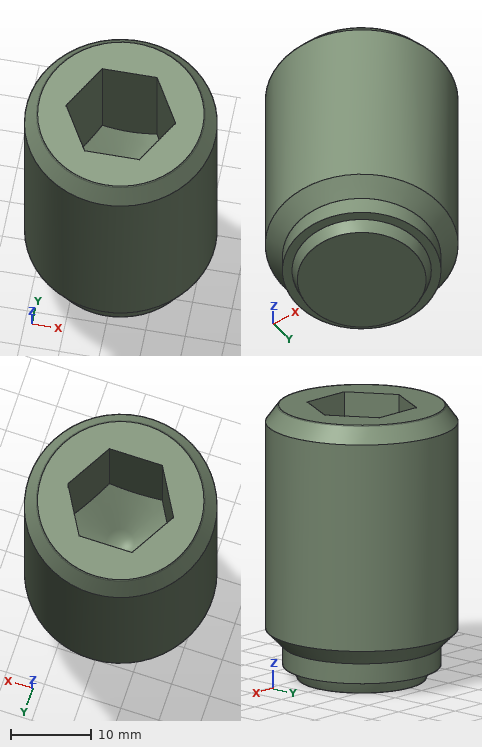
import cadquery as cq
import math

total_height = 35.0
body_radius = 12.0

ball_radius = 9.0
flat_radius = 8.0
ball_center_z = math.sqrt(ball_radius**2 - flat_radius**2)

ball_protrusion = 1.68
neck_radius = 9.87
neck_height = 2.55
neck_top_z = ball_protrusion + neck_height
lower_chamfer_top_z = neck_top_z + body_radius - neck_radius

top_chamfer_height = 2.15
bevel_radius = 10.5
bevel_height = 0.1
top_face_radius = 10.35

hex_across_flats = 12.0
hex_across_corners = hex_across_flats / math.cos(math.pi / 6)
hex_depth = 14.0
drill_point_angle = 120.0
drill_radius = hex_across_corners / 2
drill_point_depth = drill_radius / math.tan(math.radians(drill_point_angle / 2))


def revolve_profile(profile):
    """Turn a closed (radius, z) profile around the Z axis."""
    return profile.close().revolve(360, (0, 0, 0), (0, 1, 0))


def make_socket_cutter():
    """Hexagonal prism ending in the part of a drill cone inside the hexagon."""
    socket_floor_z = total_height - hex_depth
    tip_z = socket_floor_z - drill_point_depth
    prism = (
        cq.Workplane("XY", origin=(0, 0, tip_z))
        .polygon(6, hex_across_corners)
        .extrude(total_height - tip_z)
    )
    drill = revolve_profile(
        cq.Workplane("XZ")
        .moveTo(0, tip_z)
        .lineTo(drill_radius, socket_floor_z)
        .lineTo(drill_radius, total_height)
        .lineTo(0, total_height)
    )
    return prism.intersect(drill)


def make_screw():
    """Headless screw with a hexagonal socket and a spherical seat."""
    blank = revolve_profile(
        cq.Workplane("XZ")
        .moveTo(0, ball_protrusion)
        .lineTo(neck_radius, ball_protrusion)
        .lineTo(neck_radius, neck_top_z)
        .lineTo(body_radius, lower_chamfer_top_z)
        .lineTo(body_radius, total_height - top_chamfer_height)
        .lineTo(bevel_radius, total_height - bevel_height)
        .lineTo(top_face_radius, total_height)
        .lineTo(0, total_height)
    )
    seat = cq.Workplane("XY").sphere(ball_radius).translate((0, 0, ball_center_z))
    return blank.cut(make_socket_cutter()).cut(seat)


def make_ball():
    """Ball cut off by a flat face at z = 0."""
    ball_top_z = ball_center_z + ball_radius
    return revolve_profile(
        cq.Workplane("XZ")
        .moveTo(0, 0)
        .lineTo(flat_radius, 0)
        .threePointArc((ball_radius, ball_center_z), (0, ball_top_z))
    )


screw = make_screw()
ball = make_ball()

result = cq.Compound.makeCompound([screw.val(), ball.val()])